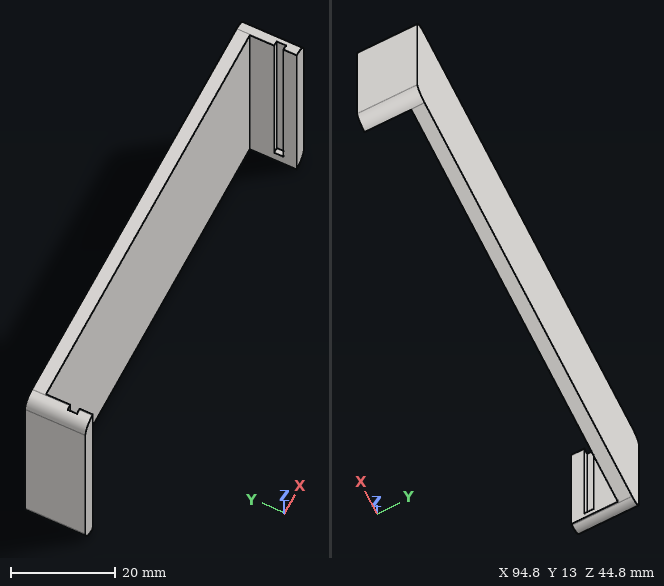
import cadquery as cq

length = 94.8
depth = 13.0
height = 44.8

plate_thickness = 2.9
wall_thickness = 3.2
corner_radius = 3.0

groove_width = 2.0
groove_depth = 1.1
groove_front_offset = 2.8
groove_floor_height = 2.8

inner_length = length - 2 * wall_thickness


def rounded_block():
    """Full envelope with its four corners rounded about the Y direction."""
    return cq.Workplane("XY").box(length, depth, height).edges("|Y").fillet(corner_radius)


def channel():
    """Space between the end walls, open at the front, top and bottom."""
    channel_depth = depth - plate_thickness
    return (
        cq.Workplane("XY")
        .box(inner_length, channel_depth, height)
        .translate((0, -plate_thickness / 2, 0))
    )


def groove_pair():
    """One bar across the channel that cuts the groove in both end walls."""
    groove_center_y = -depth / 2 + groove_front_offset + groove_width / 2
    return (
        cq.Workplane("XY")
        .box(inner_length + 2 * groove_depth, groove_width, height)
        .translate((0, groove_center_y, groove_floor_height))
    )


result = rounded_block().cut(channel()).cut(groove_pair())